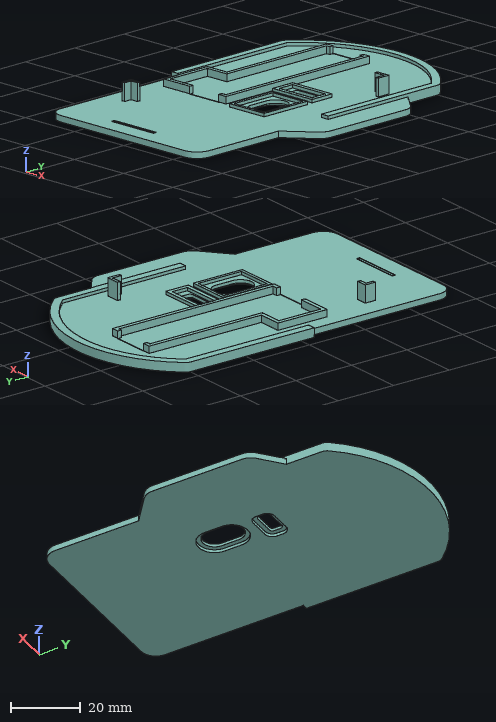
import cadquery as cq
import math

PLATE_TOP = 2.0
RIM_TOP = 3.0
TRAY_TOP = 4.3
POST_TOP = 7.6

LENGTH = 112.2
HEAD_WIDTH = 63.8
TAIL_WIDTH = 60.4
CENTRE_X = HEAD_WIDTH / 2
TAIL_CORNER_RADIUS = 5.0
HEAD_START_Y = 51.5
DOME_RADIUS = 40.6
DOME_CORNER_RADIUS = 2.9
RIM_WIDTH = 2.7

TAB_END_X = 72.5
TAB_CENTRE_Y = 59.2
TAB_ROOT_LENGTH = 52.1
TAB_END_LENGTH = 34.8
TAB_CORNER_RADIUS = 5.0

TRAY_LEFT, TRAY_RIGHT = 6.7, 32.0
TRAY_FRONT, TRAY_BACK = 41.8, 99.9
TRAY_STEP_X, TRAY_STEP_Y = 14.6, 59.5
TRAY_WALL = 1.3
TRAY_FLOOR_DEPTH = 0.1
BACK_GAP_LEFT, BACK_GAP_RIGHT = 17.3, 29.5
FRONT_GAP_LEFT, FRONT_GAP_RIGHT = 17.3, 29.0

SMALL_FRAME_CENTRE = (40.6, 64.1)
SMALL_FRAME_SIZE = (15.9, 8.1)
SMALL_FRAME_WALL = 1.3
SMALL_HOLE_SIZE = (8.4, 4.2)
SMALL_HOLE_CORNER_RADIUS = 1.0
LARGE_FRAME_CENTRE = (41.9, 49.2)
LARGE_FRAME_SIZE = (14.1, 17.6)
LARGE_FRAME_WALL = 1.0
LARGE_HOLE_SIZE = (7.9, 13.6)

POCKET_DEPTH = 1.0
POCKET_MARGIN = 1.5

POST_WALL = 1.0
LEFT_POST_CORNER = (8.6, 26.6)
LEFT_POST_LEGS = (3.6, 3.6)
RIGHT_POST_CORNER = (57.8, 82.0)
RIGHT_POST_LEGS = (4.6, 4.3)

GROOVE_LENGTH = 17.0
GROOVE_WIDTH = 1.0
GROOVE_CENTRE = (29.6, 6.8)
GROOVE_DEPTH = 0.1


def block(x_range, y_range, z_range):
    """Box between the given limits."""
    size = [high - low for low, high in (x_range, y_range, z_range)]
    corner = (x_range[0], y_range[0], z_range[0])
    return cq.Workplane("XY").box(*size, centered=False).translate(corner)


def centred_block(centre, size, bottom, top):
    """Upright box with its footprint centred on a point."""
    return cq.Workplane("XY", origin=(*centre, bottom)).rect(*size).extrude(top - bottom)


def domed_head(inset, height):
    """Head of the plate with its sides and dome moved inward by the inset."""
    half_width = HEAD_WIDTH / 2 - inset
    radius = DOME_RADIUS - inset
    dome_centre_y = LENGTH - DOME_RADIUS
    shoulder_y = dome_centre_y + math.sqrt(radius**2 - half_width**2)
    head = (
        cq.Workplane("XY")
        .moveTo(CENTRE_X - half_width, HEAD_START_Y)
        .lineTo(CENTRE_X + half_width, HEAD_START_Y)
        .lineTo(CENTRE_X + half_width, shoulder_y)
        .threePointArc((CENTRE_X, LENGTH - inset), (CENTRE_X - half_width, shoulder_y))
        .close()
        .extrude(height)
    )
    return head.edges("|Z and (not <Y)").fillet(DOME_CORNER_RADIUS - inset)


def make_tail():
    tail_left = CENTRE_X - TAIL_WIDTH / 2
    tail = block((tail_left, tail_left + TAIL_WIDTH), (0, TAB_CENTRE_Y), (0, PLATE_TOP))
    return tail.edges("|Z and <Y").fillet(TAIL_CORNER_RADIUS)


def make_tab():
    root_x = CENTRE_X + TAIL_WIDTH / 2
    tab = (
        cq.Workplane("XY")
        .moveTo(CENTRE_X, TAB_CENTRE_Y - TAB_ROOT_LENGTH / 2)
        .lineTo(root_x, TAB_CENTRE_Y - TAB_ROOT_LENGTH / 2)
        .lineTo(TAB_END_X, TAB_CENTRE_Y - TAB_END_LENGTH / 2)
        .lineTo(TAB_END_X, TAB_CENTRE_Y + TAB_END_LENGTH / 2)
        .lineTo(root_x, TAB_CENTRE_Y + TAB_ROOT_LENGTH / 2)
        .lineTo(CENTRE_X, TAB_CENTRE_Y + TAB_ROOT_LENGTH / 2)
        .close()
        .extrude(PLATE_TOP)
    )
    return tab.edges("|Z and >X").fillet(TAB_CORNER_RADIUS)


def make_rim():
    return domed_head(0, RIM_TOP).cut(domed_head(RIM_WIDTH, RIM_TOP))


def tray_solid(inset, bottom, top):
    """Stepped tray footprint, inset from its outer walls, as a solid."""
    return (
        cq.Workplane("XY", origin=(0, 0, bottom))
        .moveTo(TRAY_LEFT + inset, TRAY_FRONT + inset)
        .lineTo(TRAY_RIGHT - inset, TRAY_FRONT + inset)
        .lineTo(TRAY_RIGHT - inset, TRAY_BACK - inset)
        .lineTo(TRAY_STEP_X + inset, TRAY_BACK - inset)
        .lineTo(TRAY_STEP_X + inset, TRAY_STEP_Y - inset)
        .lineTo(TRAY_LEFT + inset, TRAY_STEP_Y - inset)
        .close()
        .extrude(top - bottom)
    )


def tray_space():
    """Everything hollow in the tray: the sunken bay and the gaps in its two end walls."""
    z_range = (PLATE_TOP - TRAY_FLOOR_DEPTH, TRAY_TOP)
    bay = tray_solid(TRAY_WALL, *z_range)
    back_gap = block((BACK_GAP_LEFT, BACK_GAP_RIGHT), (TRAY_BACK - TRAY_WALL, TRAY_BACK), z_range)
    front_gap = block(
        (FRONT_GAP_LEFT, FRONT_GAP_RIGHT), (TRAY_FRONT, TRAY_FRONT + TRAY_WALL), z_range
    )
    return bay.union(back_gap).union(front_gap)


def make_frame(centre, size, wall):
    inner_size = [side - 2 * wall for side in size]
    outer = centred_block(centre, size, 0, RIM_TOP)
    return outer.cut(centred_block(centre, inner_size, PLATE_TOP, RIM_TOP))


def make_post(corner, legs, x_direction):
    """L-shaped post; one leg runs along x_direction (+1 or -1), the other toward -Y."""
    x, y = corner
    leg_end_x = x + x_direction * legs[0]
    wall_end_x = x + x_direction * POST_WALL
    z_range = (0, POST_TOP)
    x_leg = block(sorted((x, leg_end_x)), (y - POST_WALL, y), z_range)
    y_leg = block(sorted((x, wall_end_x)), (y - legs[1], y), z_range)
    return x_leg.union(y_leg)


def small_opening(margin, height):
    """Rounded rectangle around the small opening, enlarged by the margin on every side."""
    size = [side + 2 * margin for side in SMALL_HOLE_SIZE]
    opening = centred_block(SMALL_FRAME_CENTRE, size, 0, height)
    return opening.edges("|Z").fillet(SMALL_HOLE_CORNER_RADIUS + margin)


def large_opening(margin, height):
    """Round-ended slot around the large opening, enlarged by the margin on every side."""
    width, length = [side + 2 * margin for side in LARGE_HOLE_SIZE]
    plane = cq.Workplane("XY", origin=(*LARGE_FRAME_CENTRE, 0))
    return plane.slot2D(length, width, 90).extrude(height)


plate = make_tail().union(domed_head(0, PLATE_TOP)).union(make_tab()).union(make_rim())

body = plate.union(tray_solid(0, 0, TRAY_TOP))
body = body.union(make_frame(SMALL_FRAME_CENTRE, SMALL_FRAME_SIZE, SMALL_FRAME_WALL))
body = body.union(make_frame(LARGE_FRAME_CENTRE, LARGE_FRAME_SIZE, LARGE_FRAME_WALL))
body = body.union(make_post(LEFT_POST_CORNER, LEFT_POST_LEGS, 1))
body = body.union(make_post(RIGHT_POST_CORNER, RIGHT_POST_LEGS, -1))

groove = centred_block(
    GROOVE_CENTRE, (GROOVE_LENGTH, GROOVE_WIDTH), PLATE_TOP - GROOVE_DEPTH, PLATE_TOP
)
body = body.cut(tray_space()).cut(groove)
for opening in (small_opening, large_opening):
    body = body.cut(opening(0, PLATE_TOP)).cut(opening(POCKET_MARGIN, POCKET_DEPTH))

result = body